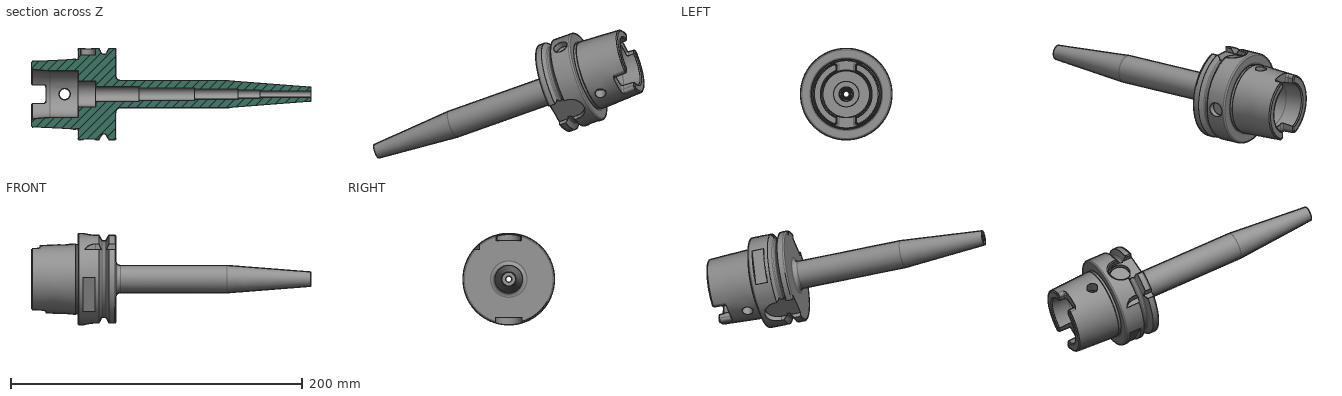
import cadquery as cq
import math


shank_length = 32.0
taper_ratio = 0.05
gauge_radius = 24.0
gauge_x = -6.3
shank_end_edge = 0.8
relief_width = 1.8
relief_radius = 23.9
relief_depth = 0.3
relief_face_radius = 25.0

flange_radius = 31.5
flange_length = 26.0
flange_edge = 1.0
groove_center = 17.75
groove_root_radius = 27.5
groove_mouth_width = 7.0
groove_flank_angle = 30.0
groove_root_fillet = 1.0

stem_radius = 9.5
stem_fillet = 3.0
stem_taper_start = 102.2
stem_tip_radius = 5.0
stem_tip_x = 160.0
stem_tip_edge = 0.3

bore_mouth_radius = 17.0
bore_mouth_chamfer = 0.8
bore_radius = 16.0
bore_cone_depth = 12.8
bore_floor_x = 0.0
stem_bore_steps = [
    (8.75, 12.0),
    (5.0, 42.0),
    (4.2, 80.0),
    (3.4, 110.0),
    (2.7, 125.0),
    (2.0, stem_tip_x),
]

slot_half_width = 6.27
slot_wall_round = 2.0
slot_floor_fillet = 1.3
slot_mouth_chamfer = 0.8
slot_mouth_angle = 45.0
upper_slot_depth = 5.8
lower_slot_depth = 9.8

cross_hole_diameter = 7.5
cross_hole_x = -9.2

keyway_center_x = 12.5
keyway_floor = 26.5
keyway_chamfer = 0.9
upper_keyway_width = 16.0
lower_keyway_width = 18.0
pocket_radius = 7.0
pocket_floor = 23.8

notch_wall = 20.2
notch_end_x = 12.1
notch_end_radius = 9.0

flat_start_x = 3.3
flat_end_x = 11.6
flat_angle = 21.5
flat_distance = 28.9

data_hole_x = 6.9
data_hole_diameter = 10.0
data_hole_depth = 4.6

clear = 40.0


def taper_radius(x):
    return gauge_radius + taper_ratio * (x - gauge_x)


def body():
    """Outer shape: taper, face relief, flange and stem as one turned profile."""
    tip_taper = (stem_radius - stem_tip_radius) / (stem_tip_x - stem_taper_start)
    rim_radius = taper_radius(-shank_length)
    profile = (
        cq.Workplane("XZ")
        .moveTo(-shank_length, 0)
        .lineTo(-shank_length, rim_radius - shank_end_edge)
        .lineTo(-shank_length + shank_end_edge, taper_radius(-shank_length + shank_end_edge))
        .lineTo(-relief_width, taper_radius(-relief_width))
        .lineTo(-relief_width + relief_depth, relief_radius)
        .lineTo(relief_depth, relief_radius)
        .lineTo(0, relief_face_radius)
        .lineTo(0, flange_radius - flange_edge)
        .radiusArc((flange_edge, flange_radius), flange_edge)
        .lineTo(flange_length - flange_edge, flange_radius)
        .radiusArc((flange_length, flange_radius - flange_edge), flange_edge)
        .lineTo(flange_length, stem_radius + stem_fillet)
        .radiusArc((flange_length + stem_fillet, stem_radius), -stem_fillet)
        .lineTo(stem_taper_start, stem_radius)
        .lineTo(stem_tip_x - stem_tip_edge, stem_tip_radius + tip_taper * stem_tip_edge)
        .lineTo(stem_tip_x, stem_tip_radius - stem_tip_edge)
        .lineTo(stem_tip_x, 0)
        .close()
    )
    return profile.revolve(360, (0, 0, 0), (1, 0, 0))


def gripper_groove():
    """Ring with a V section and rounded root corners."""
    slope = math.tan(math.radians(groove_flank_angle))
    mouth = groove_mouth_width / 2
    root = mouth - (flange_radius - groove_root_radius) * slope
    outside = mouth + (clear - flange_radius) * slope
    ring = (
        cq.Workplane("XZ")
        .moveTo(groove_center - root, groove_root_radius)
        .lineTo(groove_center + root, groove_root_radius)
        .lineTo(groove_center + outside, clear)
        .lineTo(groove_center - outside, clear)
        .close()
        .revolve(360, (0, 0, 0), (1, 0, 0))
    )
    root_edges = cq.selectors.RadiusNthSelector(0)
    return ring.edges(root_edges).fillet(groove_root_fillet)


def bore():
    """Hollow of the shank and the stepped bore running out at the stem tip."""
    mouth_x = -shank_length
    points = [
        (mouth_x, 0),
        (mouth_x, bore_mouth_radius + bore_mouth_chamfer),
        (mouth_x + bore_mouth_chamfer, bore_mouth_radius),
        (mouth_x + bore_cone_depth, bore_radius),
        (bore_floor_x, bore_radius),
    ]
    step_start = bore_floor_x
    for radius, step_end in stem_bore_steps:
        points.append((step_start, radius))
        points.append((step_end, radius))
        step_start = step_end
    points.append((stem_tip_x, 0))
    return cq.Workplane("XZ").polyline(points).close().revolve(360, (0, 0, 0), (1, 0, 0))


def drive_slot(depth):
    """Slot in the +Z side of the open end, its walls rounded over onto the taper."""
    rim_radius = taper_radius(-shank_length)
    round_y = slot_half_width + slot_wall_round
    round_z = math.sqrt((rim_radius - slot_wall_round) ** 2 - round_y**2)
    tilt = math.atan2(round_y, round_z)
    wall_angle = -math.pi / 2

    def on_round(angle):
        """Point of the wall rounding, the angle being measured from +Z towards +Y."""
        return (
            round_y + slot_wall_round * math.sin(angle),
            round_z + slot_wall_round * math.cos(angle),
        )

    def mirrored(point):
        return (-point[0], point[1])

    tangent_point = on_round(tilt)
    mid_point = on_round((wall_angle + tilt) / 2)
    wall_top = on_round(wall_angle)
    run_out = 2 * slot_wall_round
    outer_point = (
        tangent_point[0] + run_out * math.cos(tilt),
        tangent_point[1] - run_out * math.sin(tilt),
    )
    outer_top = (outer_point[0], clear)
    profile = (
        cq.Workplane("YZ", origin=(-shank_length, 0, 0))
        .moveTo(-slot_half_width, 0)
        .lineTo(slot_half_width, 0)
        .lineTo(*wall_top)
        .threePointArc(mid_point, tangent_point)
        .lineTo(*outer_point)
        .lineTo(*outer_top)
        .lineTo(*mirrored(outer_top))
        .lineTo(*mirrored(outer_point))
        .lineTo(*mirrored(tangent_point))
        .threePointArc(mirrored(mid_point), mirrored(wall_top))
        .close()
    )
    rise = taper_ratio / math.cos(tilt) * depth
    tool = cq.Solid.extrudeLinear(profile.val(), [], cq.Vector(depth, 0, rise))
    tool = cq.Workplane(tool).faces(">X").edges().fillet(slot_floor_fillet)
    mouth_profile = profile.offset2D(slot_mouth_chamfer)
    mouth = mouth_profile.extrude(slot_mouth_chamfer, taper=slot_mouth_angle)
    return tool.union(mouth)


def turned_over(shape):
    return shape.rotate((0, 0, 0), (1, 0, 0), 180)


def keyway(width):
    """Slot in the +Z side of the flange, round at one end and open at the stem side."""
    height = clear - keyway_floor
    length = clear - keyway_center_x
    floor = cq.Workplane("XY", origin=(keyway_center_x, 0, keyway_floor))
    round_end = floor.circle(width / 2).extrude(height)
    straight = floor.center(length / 2, 0).rect(length, width).extrude(height)
    return round_end.union(straight)


def flange_with_keyways():
    """Turned body with both keyways, the rim of the upper one chamfered."""
    part = body().cut(keyway(upper_keyway_width)).cut(turned_over(keyway(lower_keyway_width)))
    half_width = upper_keyway_width / 2
    rim_start = keyway_center_x - half_width
    rim_end = flange_length - flange_edge
    rim_low = math.sqrt(flange_radius**2 - half_width**2)
    rim_zone = cq.selectors.BoxSelector(
        (rim_start, -half_width - flange_edge, rim_low - flange_edge),
        (rim_end, half_width + flange_edge, flange_radius + flange_edge),
    )
    return part.edges(rim_zone).chamfer(keyway_chamfer)


def round_pocket():
    """Flat-bottomed round recess in the floor of the upper keyway."""
    floor = cq.Workplane("XY", origin=(keyway_center_x, 0, pocket_floor))
    return floor.circle(pocket_radius).extrude(clear - pocket_floor)


def cross_hole():
    """Hole through both walls of the shank, along Z."""
    hole = cq.Workplane("XY", origin=(cross_hole_x, 0, -clear))
    return hole.circle(cross_hole_diameter / 2).extrude(2 * clear)


def orientation_notch():
    """Square notch in the -Y +Z quarter of the flange, rounded out at its -X end."""
    center_y = -notch_wall - notch_end_radius
    plane = cq.Workplane("XY", origin=(notch_end_x, 0, notch_wall))
    height = clear - notch_wall
    round_end = plane.center(0, center_y).circle(notch_end_radius).extrude(height)
    straight = (
        plane.moveTo(0, -notch_wall)
        .lineTo(clear, -notch_wall)
        .lineTo(clear, -clear)
        .lineTo(0, -clear)
        .close()
        .extrude(height)
    )
    return round_end.union(straight)


def data_carrier_hole():
    """Shallow blind hole in the +Y side of the flange."""
    bottom = cq.Workplane("XZ", origin=(data_hole_x, flange_radius - data_hole_depth, 0))
    return bottom.circle(data_hole_diameter / 2).extrude(-clear)


def flange_flat():
    """Block whose inner face leaves a flat on the -Y side of the flange."""
    block = cq.Workplane("XY").box(
        flat_end_x - flat_start_x, clear - flat_distance, 2 * clear, centered=(False, False, True)
    )
    block = block.translate((flat_start_x, -clear, 0))
    return block.rotate((0, 0, 0), (1, 0, 0), flat_angle)


result = flange_with_keyways()
for cutter in (
    bore(),
    gripper_groove(),
    drive_slot(upper_slot_depth),
    turned_over(drive_slot(lower_slot_depth)),
    round_pocket(),
    cross_hole(),
    orientation_notch(),
    flange_flat(),
    data_carrier_hole(),
):
    result = result.cut(cutter)